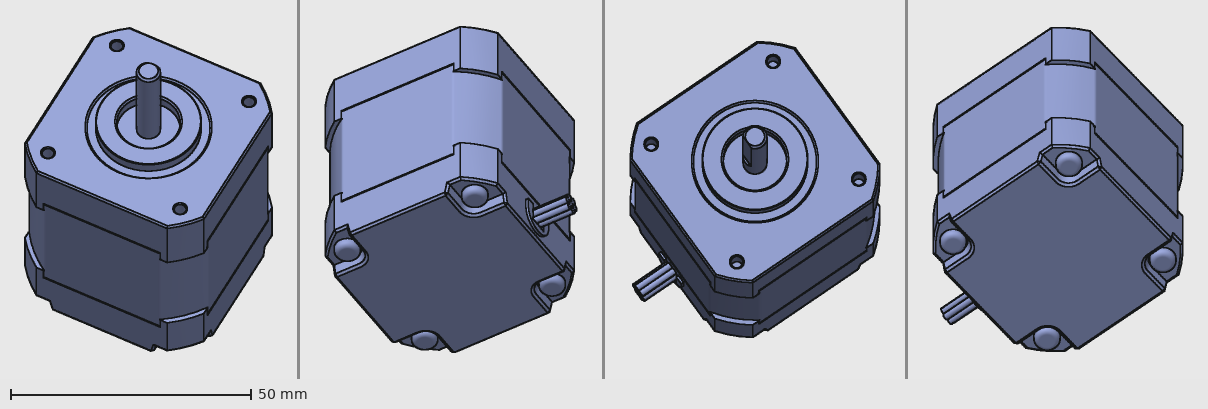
import cadquery as cq
import math


width = 42.0
half_width = width / 2
body_height = 47.0
cap_diameter = 52.0
stack_diameter = 49.9
bottom_cap_height = 13.0
top_cap_bottom = 34.5
stack_edge_fillet = 1.1
cap_chamfer = 0.4

tolerance = 0.01

chamfer_angle = 45.0

window_half_width = 13.7
window_bottom = 10.45
window_top = 36.75
window_depth = 0.06
window_gap = 0.2

bolt_spacing = 31.0
mount_hole_diameter = 2.5
mount_hole_depth = 4.5
mount_hole_chamfer = 0.25

boss_diameter = 22.0
boss_height = 2.0
boss_chamfer = 0.15
groove_diameter = 26.4
groove_depth = 0.4
bore_diameter = 13.2
bore_depth = 2.7
bore_chamfer = 0.4

shaft_diameter = 5.0
total_height = 67.0
shaft_chamfer = 0.5
flat_length = 15.0
flat_distance = 2.0
flat_runout = 0.4

pocket_height = 2.6
pocket_inner = 11.9
pocket_draft = 12.5
pocket_corner_radius = 3.0
pocket_chamfer = 0.5

head_diameter = 5.5
head_rim_bottom = 1.75
head_bottom = 0.7
head_flat_diameter = 3.2

outlet_height = 5.5
grommet_radius = 4.05
grommet_top = 2.2
grommet_thickness = 0.6
wire_diameter = 1.5
wire_pitch = 1.42
wire_count = 6
cable_end = 29.6


def rounded_square_bar(diameter, bottom, top):
    """Square bar whose corners are cut by a cylinder about the motor axis."""
    bar = cq.Workplane("XY", origin=(0, 0, bottom)).rect(width, width).extrude(top - bottom)
    turned = cq.Workplane("XY", origin=(0, 0, bottom)).circle(diameter / 2).extrude(top - bottom)
    return bar.intersect(turned)


def bolt_points(height):
    return cq.Workplane("XY", origin=(0, 0, height)).rect(
        bolt_spacing, bolt_spacing, forConstruction=True
    )


def make_stack():
    stack = rounded_square_bar(stack_diameter, window_bottom + window_gap, window_top - window_gap)
    return stack.edges("|Z").fillet(stack_edge_fillet)


def cut_windows(cap):
    height = window_top - window_bottom
    middle = (window_top + window_bottom) / 2
    for angle in (0, 90, 180, 270):
        window = (
            cq.Workplane("XY")
            .box(2 * window_half_width, 2 * window_depth, height)
            .translate((0, half_width, middle))
            .rotate((0, 0, 0), (0, 0, 1), angle)
        )
        cap = cap.cut(window)
    return cap


def is_outer_rim(edge):
    """True for an edge on the bottom face, a side face or a rounded corner of the bottom cap."""
    middle = edge.Center()
    on_bottom = middle.z < tolerance
    on_side = max(abs(middle.x), abs(middle.y)) > half_width - tolerance
    on_corner = math.hypot(middle.x, middle.y) > stack_diameter / 2
    return on_bottom or on_side or on_corner


def make_pocket(x_side, y_side):
    """Cutter for one corner: drafted inner walls that meet in a rounded corner."""
    outer = 2 * width
    size = outer - pocket_inner
    middle = (outer + pocket_inner) / 2
    return (
        cq.Workplane("XY")
        .center(x_side * middle, y_side * middle)
        .rect(size, size)
        .extrude(pocket_height, taper=pocket_draft)
        .edges("not(#Z)")
        .edges("not(|X or |Y)")
        .fillet(pocket_corner_radius)
    )


def make_bottom_cap():
    cap = rounded_square_bar(cap_diameter, 0, bottom_cap_height)
    for x_side in (-1, 1):
        for y_side in (-1, 1):
            cap = cap.cut(make_pocket(x_side, y_side))
    search_height = pocket_height + tolerance
    low_edges = cap.edges(
        cq.selectors.BoxSelector((-width, -width, -tolerance), (width, width, search_height))
    )
    rims = low_edges.filter(is_outer_rim)
    return cap.newObject(rims.vals()).chamfer(pocket_chamfer)


def make_top_cap():
    cap = rounded_square_bar(cap_diameter, top_cap_bottom, body_height)
    cap = cap.faces(">Z").edges().chamfer(cap_chamfer)
    groove = cq.Workplane("XY", origin=(0, 0, body_height)).circle(groove_diameter / 2)
    cap = cap.cut(groove.extrude(-groove_depth, taper=chamfer_angle))
    holes = bolt_points(body_height).vertices().circle(mount_hole_diameter / 2)
    cap = cap.cut(holes.extrude(-mount_hole_depth))
    sinks = bolt_points(body_height).vertices().circle(mount_hole_diameter / 2 + mount_hole_chamfer)
    return cap.cut(sinks.extrude(-mount_hole_chamfer, taper=chamfer_angle))


def add_boss(cap):
    """Stand the boss in the groove, then sink the bore through it into the cap."""
    bottom = body_height - groove_depth
    top = body_height + boss_height
    boss = cq.Workplane("XY", origin=(0, 0, bottom)).circle(boss_diameter / 2).extrude(top - bottom)
    boss = boss.faces(">Z").edges().chamfer(boss_chamfer)
    cap = cap.union(boss).faces(">Z").workplane(origin=(0, 0, top)).hole(bore_diameter, bore_depth)
    bore_rim = cap.faces(">Z").edges(cq.selectors.RadiusNthSelector(0))
    return bore_rim.chamfer(bore_chamfer)


def make_shaft():
    bottom = body_height + boss_height - bore_depth
    shaft = (
        cq.Workplane("XY", origin=(0, 0, bottom))
        .circle(shaft_diameter / 2)
        .extrude(total_height - bottom)
        .faces(">Z")
        .edges()
        .chamfer(shaft_chamfer)
    )
    flat_start = total_height - flat_length
    flat = (
        cq.Workplane("YZ")
        .moveTo(shaft_diameter, flat_start - flat_runout)
        .lineTo(shaft_diameter / 2, flat_start - flat_runout)
        .lineTo(flat_distance, flat_start)
        .lineTo(flat_distance, total_height)
        .lineTo(shaft_diameter, total_height)
        .close()
        .extrude(shaft_diameter, both=True)
    )
    return shaft.cut(flat)


def make_screw_heads():
    rim = head_diameter / 2
    flat = head_flat_diameter / 2
    bulge = math.sqrt(0.5)
    head = (
        cq.Workplane("XZ")
        .moveTo(0, head_bottom)
        .lineTo(flat, head_bottom)
        .threePointArc(
            (flat + (rim - flat) * bulge, head_rim_bottom - (head_rim_bottom - head_bottom) * bulge),
            (rim, head_rim_bottom),
        )
        .lineTo(rim, pocket_height)
        .lineTo(0, pocket_height)
        .close()
        .revolve(360, (0, 0, 0), (0, 1, 0))
    )
    return bolt_points(0).vertices().eachpoint(lambda place: head.val().moved(place))


def make_cable():
    origin = (0, half_width, outlet_height)
    grommet = (
        cq.Workplane("XZ", origin=origin)
        .moveTo(-grommet_radius, 0)
        .lineTo(-grommet_radius, grommet_top)
        .lineTo(grommet_radius, grommet_top)
        .lineTo(grommet_radius, 0)
        .threePointArc((0, -grommet_radius), (-grommet_radius, 0))
        .close()
        .extrude(-grommet_thickness)
    )
    cable_width = 2 * wire_pitch + wire_diameter
    opening = cq.Workplane("XZ", origin=origin).rect(cable_width, 2 * grommet_top)
    grommet = grommet.cut(opening.extrude(-grommet_thickness))
    wire_length = cable_end - half_width
    cable = grommet.union(
        cq.Workplane("XZ", origin=origin).circle(wire_diameter / 2).extrude(-wire_length)
    )
    for index in range(wire_count):
        angle = 2 * math.pi * index / wire_count
        wire = (
            cq.Workplane("XZ", origin=origin)
            .center(wire_pitch * math.cos(angle), wire_pitch * math.sin(angle))
            .circle(wire_diameter / 2)
            .extrude(-wire_length)
        )
        cable = cable.union(wire)
    return cable


caps = cut_windows(make_bottom_cap().union(add_boss(make_top_cap())))
result = (
    caps.union(make_stack())
    .union(make_shaft())
    .union(make_screw_heads())
    .union(make_cable())
)